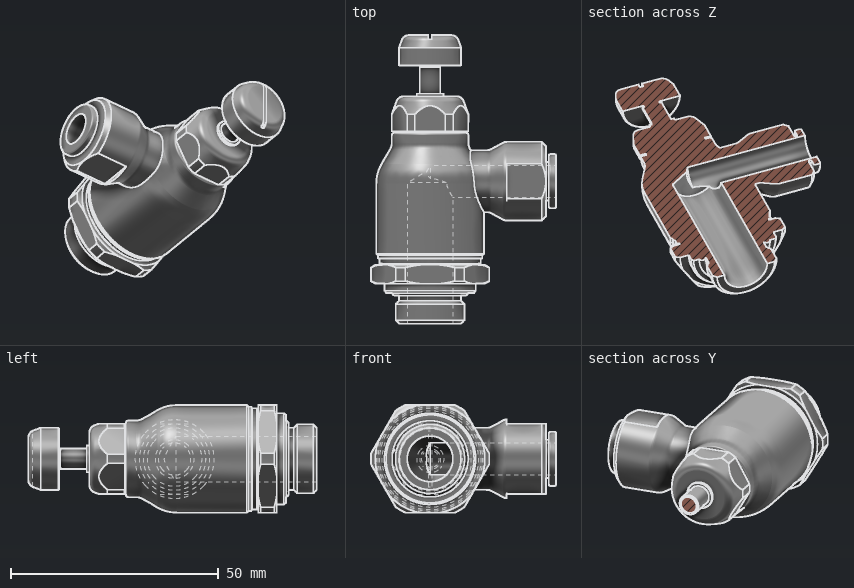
import cadquery as cq
import math


NOSE_END_Y = -34.3
NOSE_BACK_Y = -29.6
COLLAR_FACE_Y = -26.9
COLLAR_TAPER_Y = -26.3
NUT_LOW_Y = -24.65
NUT_HIGH_Y = -20.15
SEAT_TOP_Y = -18.7
BODY_LOW_Y = -17.45
BODY_TOP_Y = 11.7
CAP_LOW_Y = 12.0
CAP_CONE_Y = 16.1
CAP_TOP_Y = 20.5
STEM_WASHER_HEIGHT = 0.6
KNOB_LOW_Y = 27.75
KNOB_CONE_Y = 32.15
KNOB_TOP_Y = 35.2

NOSE_RADIUS = 8.33
NOSE_CHAMFER = 0.9
NOSE_NECK_RADIUS = 7.5
COLLAR_RADIUS = 11.0
COLLAR_FACE_RADIUS = 10.6
SEAL_RING_RADIUS = 8.35
SEAL_SECTION_RADIUS = 0.85
SEAL_PROTRUSION = 0.65

NUT_FLATS = 25.96
NUT_CORNER_RADIUS = 14.27
NUT_FACE_RADIUS = 13.2
NUT_CHAMFER_ANGLE = 30

BODY_RADIUS = NUT_FLATS / 2
BODY_LOW_CHAMFER = 0.4
BODY_RIM_HEIGHT = 0.65
SEAT_RADIUS = 12.2
NUT_GAP = 0.3
NUT_GAP_RADIUS = 11.6
SHOULDER_ANGLE = 30
SHOULDER_CORNER_Y = 1.95
SHOULDER_ROUND = 9.3
THROAT_RADIUS = 9.25
THROAT_ROUND = 3.0
THROAT_TOP_ROUND = 0.65
CAP_GAP_RADIUS = 7.7

CAP_FLATS = 17.0
CAP_CORNER_RADIUS = 9.25
KNOB_RADIUS = 7.5
TOP_CONE_ANGLE = 20
TOP_ROUND = 2.0
STEM_WASHER_RADIUS = 3.25
STEM_RADIUS = 2.5
STEM_TIP_RADIUS = 2.1
STEM_TIP_HEIGHT = 0.3
KNOB_LOW_CHAMFER = 0.2
KNOB_SLOT_WIDTH = 0.8
KNOB_SLOT_DEPTH = 1.0

BRANCH_NECK_RADIUS = 7.5
BRANCH_CONE_START_X = 14.25
BRANCH_CONE_END_X = 17.97
BRANCH_CONE_ROUND = 1.7
BRANCH_RADIUS = 9.5
BRANCH_FLATS = 17.0
BRANCH_FLATS_X = 18.4
BRANCH_END_X = 27.9
BRANCH_END_CHAMFER = 1.05
COLLET_NECK_RADIUS = 4.65
COLLET_FLANGE_RADIUS = 6.55
COLLET_FLANGE_X = 28.55
COLLET_END_X = 30.35
COLLET_ROUND = 0.45

NOSE_BORE_RADIUS = 5.5
NOSE_BORE_TIP_Y = 3.0
BRANCH_BORE_RADIUS = 3.88
DRILL_POINT_ANGLE = 118


def slope(angle):
    return math.tan(math.radians(angle))


def rounded_outline(points):
    """Closed outline through (x, y) points; a third value rounds that corner with a tangent arc."""
    count = len(points)
    stretches = []
    for index, point in enumerate(points):
        corner = cq.Vector(point[0], point[1])
        if len(point) == 2:
            stretches.append([corner])
            continue
        before = points[index - 1]
        after = points[(index + 1) % count]
        to_before = (cq.Vector(before[0], before[1]) - corner).normalized()
        to_after = (cq.Vector(after[0], after[1]) - corner).normalized()
        half_angle = to_before.getAngle(to_after) / 2
        radius = point[2]
        tangent_length = radius / math.tan(half_angle)
        bisector = (to_before + to_after).normalized()
        arc_middle = corner + bisector * (radius / math.sin(half_angle) - radius)
        arc_start = corner + to_before * tangent_length
        arc_end = corner + to_after * tangent_length
        stretches.append([arc_start, arc_middle, arc_end])

    outline = cq.Workplane("XY").moveTo(stretches[0][0].x, stretches[0][0].y)
    for index, stretch in enumerate(stretches):
        if index > 0:
            outline = outline.lineTo(stretch[0].x, stretch[0].y)
        if len(stretch) == 3:
            outline = outline.threePointArc(stretch[1].toTuple()[:2], stretch[2].toTuple()[:2])
    return outline.close()


def turned_about_y(points):
    """Revolve a (radius, y) outline about the Y axis."""
    return rounded_outline(points).revolve(360, (0, 0, 0), (0, 1, 0))


def turned_about_x(points):
    """Revolve an (x, radius) outline about the X axis."""
    return rounded_outline(points).revolve(360, (0, 0, 0), (1, 0, 0))


def hexagon_bar(across_flats, low_y, high_y):
    """Hexagonal bar along Y with two flats facing +Z and -Z."""
    across_corners = across_flats / math.cos(math.pi / 6)
    section = cq.Workplane("XZ", origin=(0, high_y, 0)).polygon(6, across_corners)
    return section.extrude(high_y - low_y)


def make_nose():
    neck_end_y = NOSE_BACK_Y + NOSE_RADIUS - NOSE_NECK_RADIUS
    return turned_about_y([
        (0, NOSE_END_Y),
        (NOSE_RADIUS - NOSE_CHAMFER, NOSE_END_Y),
        (NOSE_RADIUS, NOSE_END_Y + NOSE_CHAMFER),
        (NOSE_RADIUS, NOSE_BACK_Y),
        (NOSE_NECK_RADIUS, neck_end_y),
        (NOSE_NECK_RADIUS, COLLAR_FACE_Y),
        (COLLAR_FACE_RADIUS, COLLAR_FACE_Y),
        (COLLAR_RADIUS, COLLAR_TAPER_Y),
        (COLLAR_RADIUS, NUT_LOW_Y),
        (0, NUT_LOW_Y),
    ])


def make_seal_ring():
    center_y = COLLAR_FACE_Y - SEAL_PROTRUSION + SEAL_SECTION_RADIUS
    section = cq.Workplane("XY").center(SEAL_RING_RADIUS, center_y).circle(SEAL_SECTION_RADIUS)
    return section.revolve(360, (-SEAL_RING_RADIUS, 0, 0), (-SEAL_RING_RADIUS, 1, 0))


def make_nut():
    chamfer_height = (NUT_CORNER_RADIUS - NUT_FACE_RADIUS) * slope(NUT_CHAMFER_ANGLE)
    blank = turned_about_y([
        (0, NUT_LOW_Y),
        (NUT_FACE_RADIUS, NUT_LOW_Y),
        (NUT_CORNER_RADIUS, NUT_LOW_Y + chamfer_height),
        (NUT_CORNER_RADIUS, NUT_HIGH_Y - chamfer_height),
        (NUT_FACE_RADIUS, NUT_HIGH_Y),
        (0, NUT_HIGH_Y),
    ])
    return blank.intersect(hexagon_bar(NUT_FLATS, NUT_LOW_Y, NUT_HIGH_Y))


def make_body():
    gap_top_y = NUT_HIGH_Y + NUT_GAP
    rim_low_y = BODY_LOW_Y - BODY_LOW_CHAMFER - BODY_RIM_HEIGHT
    rim_radius = BODY_RADIUS - BODY_LOW_CHAMFER
    throat_corner_y = SHOULDER_CORNER_Y + (BODY_RADIUS - THROAT_RADIUS) / slope(SHOULDER_ANGLE)
    return turned_about_y([
        (0, NUT_HIGH_Y),
        (NUT_GAP_RADIUS, NUT_HIGH_Y),
        (NUT_GAP_RADIUS, gap_top_y),
        (SEAT_RADIUS, gap_top_y),
        (SEAT_RADIUS, SEAT_TOP_Y),
        (rim_radius, rim_low_y),
        (rim_radius, BODY_LOW_Y - BODY_LOW_CHAMFER),
        (BODY_RADIUS, BODY_LOW_Y),
        (BODY_RADIUS, SHOULDER_CORNER_Y, SHOULDER_ROUND),
        (THROAT_RADIUS, throat_corner_y, THROAT_ROUND),
        (THROAT_RADIUS, BODY_TOP_Y, THROAT_TOP_ROUND),
        (CAP_GAP_RADIUS, BODY_TOP_Y),
        (CAP_GAP_RADIUS, CAP_LOW_Y),
        (0, CAP_LOW_Y),
    ])


def make_cap():
    top_radius = CAP_CORNER_RADIUS - (CAP_TOP_Y - CAP_CONE_Y) * slope(TOP_CONE_ANGLE)
    blank = turned_about_y([
        (0, CAP_LOW_Y),
        (CAP_CORNER_RADIUS, CAP_LOW_Y),
        (CAP_CORNER_RADIUS, CAP_CONE_Y),
        (top_radius, CAP_TOP_Y, TOP_ROUND),
        (0, CAP_TOP_Y),
    ])
    return blank.intersect(hexagon_bar(CAP_FLATS, CAP_LOW_Y, CAP_TOP_Y))


def make_stem_and_knob():
    washer_top_y = CAP_TOP_Y + STEM_WASHER_HEIGHT
    stem_top_y = KNOB_LOW_Y - STEM_TIP_HEIGHT
    top_radius = KNOB_RADIUS - (KNOB_TOP_Y - KNOB_CONE_Y) * slope(TOP_CONE_ANGLE)
    turned = turned_about_y([
        (0, CAP_TOP_Y),
        (STEM_WASHER_RADIUS, CAP_TOP_Y),
        (STEM_WASHER_RADIUS, washer_top_y),
        (STEM_RADIUS, washer_top_y),
        (STEM_RADIUS, stem_top_y),
        (STEM_TIP_RADIUS, stem_top_y),
        (STEM_TIP_RADIUS, KNOB_LOW_Y),
        (KNOB_RADIUS - KNOB_LOW_CHAMFER, KNOB_LOW_Y),
        (KNOB_RADIUS, KNOB_LOW_Y + KNOB_LOW_CHAMFER),
        (KNOB_RADIUS, KNOB_CONE_Y),
        (top_radius, KNOB_TOP_Y, TOP_ROUND),
        (0, KNOB_TOP_Y),
    ])
    slot = cq.Workplane("XY").box(KNOB_SLOT_WIDTH, 2 * KNOB_SLOT_DEPTH, 2 * KNOB_RADIUS)
    return turned.cut(slot.translate((0, KNOB_TOP_Y, 0)))


def make_branch():
    turned = turned_about_x([
        (0, 0),
        (0, BRANCH_NECK_RADIUS),
        (BRANCH_CONE_START_X, BRANCH_NECK_RADIUS, BRANCH_CONE_ROUND),
        (BRANCH_CONE_END_X, BRANCH_RADIUS, BRANCH_CONE_ROUND),
        (BRANCH_END_X - BRANCH_END_CHAMFER, BRANCH_RADIUS),
        (BRANCH_END_X, BRANCH_RADIUS - BRANCH_END_CHAMFER),
        (BRANCH_END_X, COLLET_NECK_RADIUS),
        (COLLET_FLANGE_X, COLLET_NECK_RADIUS),
        (COLLET_FLANGE_X, COLLET_FLANGE_RADIUS, COLLET_ROUND),
        (COLLET_END_X, COLLET_FLANGE_RADIUS, COLLET_ROUND),
        (COLLET_END_X, 0),
    ])
    flats_length = BRANCH_END_X - BRANCH_FLATS_X
    flat_depth = BRANCH_RADIUS - BRANCH_FLATS / 2
    cutter = cq.Workplane("XY").box(flats_length, 2 * BRANCH_RADIUS, flat_depth)
    cutter_x = BRANCH_FLATS_X + flats_length / 2
    cutter_z = BRANCH_RADIUS - flat_depth / 2
    for side in (-1, 1):
        turned = turned.cut(cutter.translate((cutter_x, 0, side * cutter_z)))
    return turned


def make_bores():
    """Axial bore from the nose and branch bore from the collet, meeting at their drill points."""
    point_slope = slope(DRILL_POINT_ANGLE / 2)
    nose_bore = turned_about_y([
        (0, NOSE_END_Y),
        (NOSE_BORE_RADIUS, NOSE_END_Y),
        (NOSE_BORE_RADIUS, NOSE_BORE_TIP_Y - NOSE_BORE_RADIUS / point_slope),
        (0, NOSE_BORE_TIP_Y),
    ])
    branch_bore = turned_about_x([
        (-BRANCH_BORE_RADIUS / point_slope, 0),
        (0, BRANCH_BORE_RADIUS),
        (COLLET_END_X, BRANCH_BORE_RADIUS),
        (COLLET_END_X, 0),
    ])
    return nose_bore.union(branch_bore)


def make_fitting():
    fitting = make_body()
    for piece in (make_nut(), make_nose(), make_seal_ring(), make_cap(), make_stem_and_knob(), make_branch()):
        fitting = fitting.union(piece)
    return fitting.cut(make_bores())


result = make_fitting()